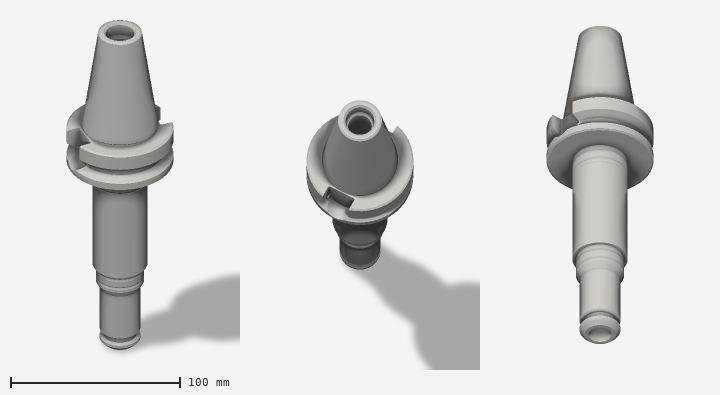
import cadquery as cq
import math

LENGTH = 221.0
GAUGE_Z = 155.5
FLANGE_TOP_Z = 153.3
FLANGE_BOTTOM_Z = 128.8
BODY_END_Z = 56.0
GUIDE_END_Z = 40.0
PILOT_END_Z = 9.3
HEAD_TOP_Z = 5.7

RIM_CHAMFER_WIDTH = 1.0
RIM_CHAMFER_HEIGHT = 0.7

GAUGE_DIA = 44.8
TAPER_RATIO = 7 / 24
RELIEF_DIA = 43.0
RELIEF_FOOT_DIA = 44.2

FLANGE_DIA = 63.0
GROOVE_DIA = 52.8
GROOVE_FLOOR_Z = 136.7
GROOVE_FLOOR_WIDTH = 4.2
GROOVE_WALL_ANGLE = 30.0

SLOT_WIDTH = 17.5
SLOT_END_DIA = 15.7
SLOT_FLOOR_RADIUS = 22.5
SLOT_BOTTOM_Z = 131.9
SLOT_CORNER_FILLET = 0.9
SLOT_END_FILLET = 0.5

BODY_DIA = 32.5
GUIDE_DIA = 28.5
PILOT_DIA = 24.0
HEAD_NECK_DIA = 19.5
HEAD_TIP_DIA = 18.3
HEAD_CONE_DIA = 22.8
HEAD_CONE_HEIGHT = 2.2
EDGE_CHAMFER = 0.9

BARB_DEPTH = 0.5
BARB_STEP = 0.9
BARB_HEIGHT = 2.2
BODY_BARBS_Z = (127.0, 120.8)
BODY_STEP_Z = 116.9
GUIDE_BARBS_Z = (54.1, 48.2)
GUIDE_CONE_TOP_Z = 44.2
UNDERCUT_DEPTH = 0.2
UNDERCUT_LAND = 0.7

BORE_DIA = 14.0
COUNTERBORE_DIA = 17.0
COUNTERBORE_DEPTH = 8.5
BORE_MOUTH_DIA = 19.5


def barb_points(dia, top_z):
    """Points of one ring groove: short flank in, long cone back out."""
    radius = dia / 2
    return [
        (radius, top_z),
        (radius - BARB_DEPTH, top_z - BARB_STEP),
        (radius, top_z - BARB_HEIGHT),
    ]


def undercut_points(dia, shoulder_z, barb_z):
    """Points of the shallow neck between a shoulder and the land above the first ring groove."""
    radius = dia / 2
    land_z = barb_z + UNDERCUT_LAND
    return [
        (radius, shoulder_z),
        (radius - UNDERCUT_DEPTH, land_z),
        (radius, land_z),
    ]


def taper_and_flange_points():
    gauge_radius = GAUGE_DIA / 2
    tip_radius = gauge_radius - (LENGTH - GAUGE_Z) * TAPER_RATIO / 2
    relief_radius = RELIEF_DIA / 2
    relief_z = GAUGE_Z - (gauge_radius - relief_radius)
    rim = FLANGE_DIA / 2
    groove_radius = GROOVE_DIA / 2
    wall_height = (rim - groove_radius) * math.tan(math.radians(GROOVE_WALL_ANGLE))
    groove_top_z = GROOVE_FLOOR_Z + GROOVE_FLOOR_WIDTH
    return [
        (0, LENGTH),
        (tip_radius - RIM_CHAMFER_WIDTH, LENGTH),
        (tip_radius, LENGTH - RIM_CHAMFER_HEIGHT),
        (gauge_radius, GAUGE_Z),
        (relief_radius, relief_z),
        (RELIEF_FOOT_DIA / 2, FLANGE_TOP_Z),
        (rim - RIM_CHAMFER_WIDTH, FLANGE_TOP_Z),
        (rim, FLANGE_TOP_Z - RIM_CHAMFER_HEIGHT),
        (rim, groove_top_z + wall_height),
        (groove_radius, groove_top_z),
        (groove_radius, GROOVE_FLOOR_Z),
        (rim, GROOVE_FLOOR_Z - wall_height),
        (rim, FLANGE_BOTTOM_Z + RIM_CHAMFER_HEIGHT),
        (rim - RIM_CHAMFER_WIDTH, FLANGE_BOTTOM_Z),
    ]


def shank_points():
    body = BODY_DIA / 2
    guide = GUIDE_DIA / 2
    pilot = PILOT_DIA / 2
    neck = HEAD_NECK_DIA / 2
    points = undercut_points(BODY_DIA, FLANGE_BOTTOM_Z, BODY_BARBS_Z[0])
    for top_z in BODY_BARBS_Z:
        points += barb_points(BODY_DIA, top_z)
    points += [
        (body, BODY_STEP_Z),
        (body - BARB_DEPTH, BODY_STEP_Z - BARB_STEP),
        (body, BODY_STEP_Z - BARB_STEP),
        (body, BODY_END_Z),
    ]
    points += undercut_points(GUIDE_DIA, BODY_END_Z, GUIDE_BARBS_Z[0])
    for top_z in GUIDE_BARBS_Z:
        points += barb_points(GUIDE_DIA, top_z)
    points += [
        (guide, GUIDE_CONE_TOP_Z),
        (pilot, GUIDE_END_Z),
        (pilot, PILOT_END_Z + EDGE_CHAMFER),
        (pilot - EDGE_CHAMFER, PILOT_END_Z),
        (neck, PILOT_END_Z),
        (neck, HEAD_TOP_Z),
        (pilot - EDGE_CHAMFER, HEAD_TOP_Z),
        (pilot, HEAD_TOP_Z - EDGE_CHAMFER),
        (pilot, HEAD_CONE_HEIGHT + EDGE_CHAMFER),
        (HEAD_CONE_DIA / 2, HEAD_CONE_HEIGHT),
        (HEAD_TIP_DIA / 2, 0),
        (0, 0),
    ]
    return points


def revolve(points):
    return cq.Workplane("XZ").polyline(points).close().revolve(360, (0, 0, 0), (0, 1, 0))


def bore():
    bore_radius = BORE_DIA / 2
    wide_radius = COUNTERBORE_DIA / 2
    mouth_radius = BORE_MOUTH_DIA / 2
    seat_z = LENGTH - COUNTERBORE_DEPTH
    return revolve([
        (0, 0),
        (bore_radius, 0),
        (bore_radius, seat_z - (wide_radius - bore_radius)),
        (wide_radius, seat_z),
        (wide_radius, LENGTH - (mouth_radius - wide_radius)),
        (mouth_radius, LENGTH),
        (0, LENGTH),
    ])


def drive_slot():
    """Cutter for the slot on the -Y side: wide and straight on top, narrower and round below."""
    end_radius = SLOT_END_DIA / 2
    end_z = SLOT_BOTTOM_Z + end_radius
    depth = FLANGE_DIA / 2 - SLOT_FLOOR_RADIUS
    straight = (
        cq.Workplane("XY")
        .box(SLOT_WIDTH, depth, FLANGE_TOP_Z - end_z, centered=(True, False, False))
        .translate((0, -FLANGE_DIA / 2, end_z))
        .faces(">Y")
        .edges("|Z")
        .fillet(SLOT_CORNER_FILLET)
    )
    round_end = (
        cq.Workplane("XZ", origin=(0, -SLOT_FLOOR_RADIUS, end_z))
        .circle(end_radius)
        .extrude(depth)
        .faces(">Y")
        .edges()
        .fillet(SLOT_END_FILLET)
    )
    return straight.union(round_end)


result = revolve(taper_and_flange_points() + shank_points()).cut(bore())
for angle in (0, 180):
    result = result.cut(drive_slot().rotate((0, 0, 0), (0, 0, 1), angle))